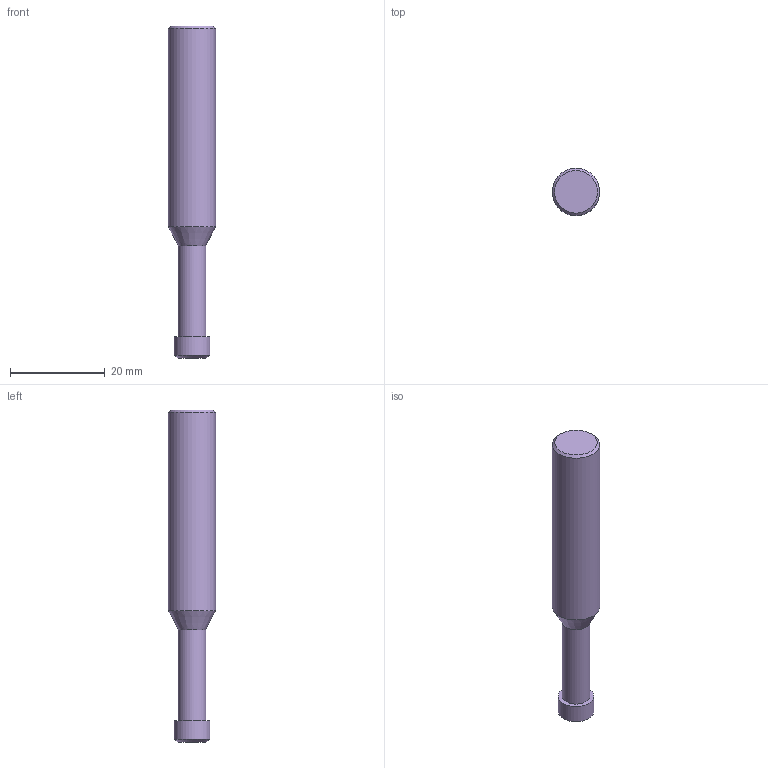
import cadquery as cq

total_length = 70.0
shank_diameter = 10.0
shank_chamfer = 0.5
neck_diameter = 5.8
head_diameter = 7.5
head_length = 4.5
head_chamfer_width = 0.85
head_chamfer_height = 0.55
taper_start = 23.7
taper_end = 27.7

shank_radius = shank_diameter / 2
neck_radius = neck_diameter / 2
head_radius = head_diameter / 2


def turned_profile():
    """Half section (radius, height), with the collar head at the bottom."""
    return (
        cq.Workplane("XZ")
        .lineTo(head_radius - head_chamfer_width, 0)
        .lineTo(head_radius, head_chamfer_height)
        .lineTo(head_radius, head_length)
        .lineTo(neck_radius, head_length)
        .lineTo(neck_radius, taper_start)
        .lineTo(shank_radius, taper_end)
        .lineTo(shank_radius, total_length - shank_chamfer)
        .lineTo(shank_radius - shank_chamfer, total_length)
        .lineTo(0, total_length)
        .close()
    )


result = turned_profile().revolve(360, (0, 0, 0), (0, 1, 0))